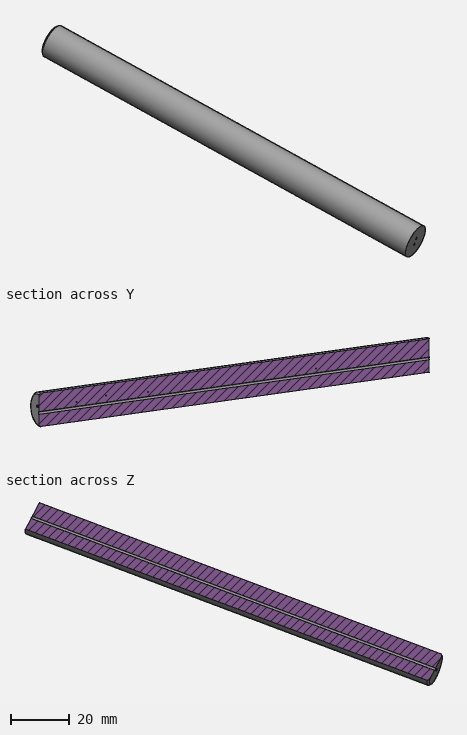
import cadquery as cq
import math

rod_length = 150.0
rod_diameter = 12.0
rod_radius = rod_diameter / 2
rod_start_x = -rod_length / 2
rod_end_x = rod_length / 2

bevel = 0.6

bore_diameter = 0.8
bore_spacing = 2.4
bore_tilt = math.radians(60)


def make_rod():
    """Half profile with the end bevel, turned about the X axis."""
    return (
        cq.Workplane("XY")
        .moveTo(rod_start_x, 0)
        .lineTo(rod_start_x, rod_radius - bevel)
        .lineTo(rod_start_x + bevel, rod_radius)
        .lineTo(rod_end_x, rod_radius)
        .lineTo(rod_end_x, 0)
        .close()
        .revolve(360, (0, 0, 0), (1, 0, 0))
    )


def make_bores():
    """The pair of parallel bores, running from end to end."""
    offset_y = bore_spacing / 2 * math.cos(bore_tilt)
    offset_z = bore_spacing / 2 * math.sin(bore_tilt)
    return (
        cq.Workplane("YZ", origin=(rod_start_x, 0, 0))
        .pushPoints([(offset_y, offset_z), (-offset_y, -offset_z)])
        .circle(bore_diameter / 2)
        .extrude(rod_length)
    )


result = make_rod().cut(make_bores())